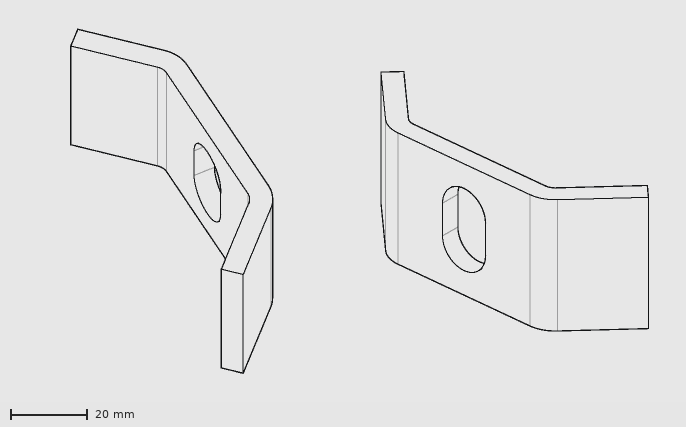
import cadquery as cq
import math

length = 94.0
height = 40.0
thickness = 6.0
inner_radius = 3.95
flat_half = 23.1
bend_angle = 45.0
slot_width = 15.0
slot_height = 25.0

outer_radius = inner_radius + thickness
bend_centre_y = -outer_radius
turn = math.radians(bend_angle)
wing_length = (length / 2 - flat_half - outer_radius * math.sin(turn)) / math.cos(turn)


def on_bend(radius, angle):
    """Point on the right-hand bend, with the angle measured from the flat."""
    return (flat_half + radius * math.sin(angle), bend_centre_y + radius * math.cos(angle))


def wing_tip(radius):
    """End of the straight wing face that leaves the bend at this radius."""
    x, y = on_bend(radius, turn)
    return (x + wing_length * math.cos(turn), y - wing_length * math.sin(turn))


def make_strip():
    """Right half of the bent strip, mirrored across the YZ plane."""
    half = (
        cq.Workplane("XY")
        .moveTo(0, 0)
        .lineTo(*on_bend(outer_radius, 0))
        .threePointArc(on_bend(outer_radius, turn / 2), on_bend(outer_radius, turn))
        .lineTo(*wing_tip(outer_radius))
        .lineTo(*wing_tip(inner_radius))
        .lineTo(*on_bend(inner_radius, turn))
        .threePointArc(on_bend(inner_radius, turn / 2), on_bend(inner_radius, 0))
        .lineTo(0, -thickness)
        .close()
        .extrude(height / 2, both=True)
    )
    return half.union(half.mirror("YZ")).clean()


def make_slot():
    """Upright rounded slot through the middle of the flat."""
    return (
        cq.Workplane("XZ")
        .slot2D(slot_height, slot_width, 90)
        .extrude(thickness)
    )


result = make_strip().cut(make_slot())